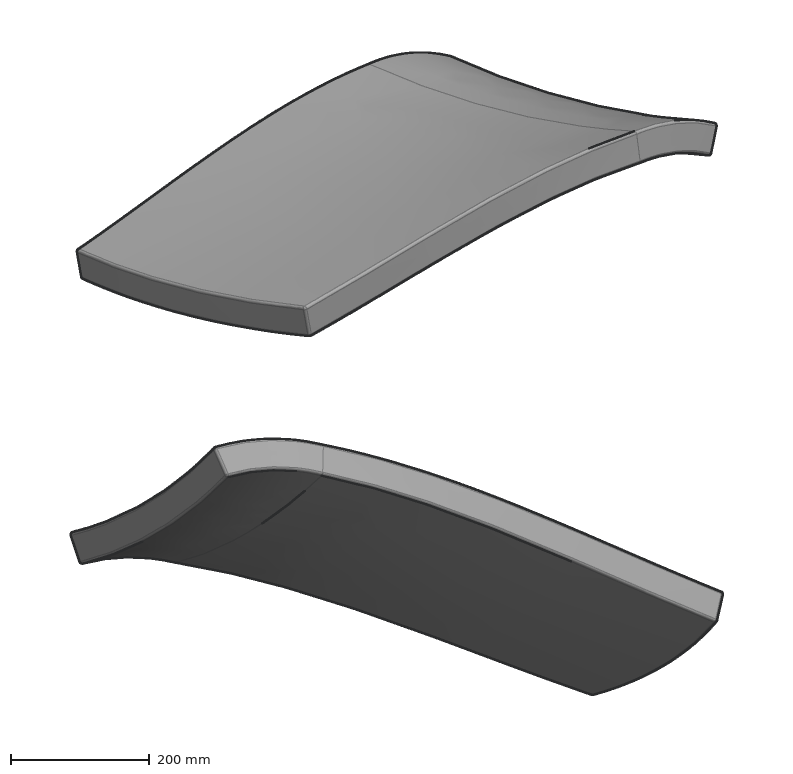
import cadquery as cq
import math

thickness = 48.0
edge_radius = 4.0
head_y = 414.0
foot_y = -413.5
foot_tilt = 13.0
foot_bottom_z = -102.0
foot_corner_setback = 16.5
foot_half_width = 231.0
head_half_width = 271.5

knee_section = (243.5, 100.0, -4.0, 271.0, 5.0, 21.0)
head_sections = [
    (head_y, 78.0, 23.0, head_half_width - 2.5, 5.0, 18.0),
    (329.0, 100.0, 9.0, head_half_width, 5.0, 20.0),
    knee_section,
]
back_sections = [
    knee_section,
    (11.0, 63.5, -13.0, 257.5, 2.5, 14.0),
    (-220.0, 2.5, -15.5, 243.0, 1.0, 9.0),
    (-451.5, -59.5, -15.5, 227.0, 0.0, 5.0),
]


def section_wire(y, z, lean, half_width, flare, hollow):
    """Four-sided section with hollowed upper and lower edges, in a leaning plane."""
    angle = math.radians(lean)
    plane = cq.Plane(
        origin=(0, y, z),
        xDir=(1, 0, 0),
        normal=(0, -math.cos(angle), math.sin(angle)),
    )
    lower_half_width = half_width + flare
    return (
        cq.Workplane(plane)
        .moveTo(-half_width, 0)
        .threePointArc((0, -hollow), (half_width, 0))
        .lineTo(lower_half_width, -thickness)
        .threePointArc((0, -thickness - hollow), (-lower_half_width, -thickness))
        .close()
        .val()
    )


def foot_trim():
    """Leaning cylinder whose wall forms the bowed foot end."""
    radius = (foot_half_width**2 + foot_corner_setback**2) / (2 * foot_corner_setback)
    cylinder_height = 1651.0
    angle = math.radians(foot_tilt)
    bottom_y = foot_y + thickness * math.sin(angle)
    axis = cq.Vector(0, -math.sin(angle), math.cos(angle))
    outward = cq.Vector(0, -math.cos(angle), -math.sin(angle))
    middle = cq.Vector(0, bottom_y, foot_bottom_z)
    start = middle - outward * radius - axis * (cylinder_height / 2)
    return cq.Workplane(cq.Solid.makeCylinder(radius, cylinder_height, start, axis))


def loft_through(section_list):
    """Smooth solid through a run of evenly spaced sections."""
    return cq.Workplane(cq.Solid.makeLoft([section_wire(*section) for section in section_list]))


panel = loft_through(head_sections).union(loft_through(back_sections))
panel = panel.intersect(foot_trim())

result = panel.edges().fillet(edge_radius)